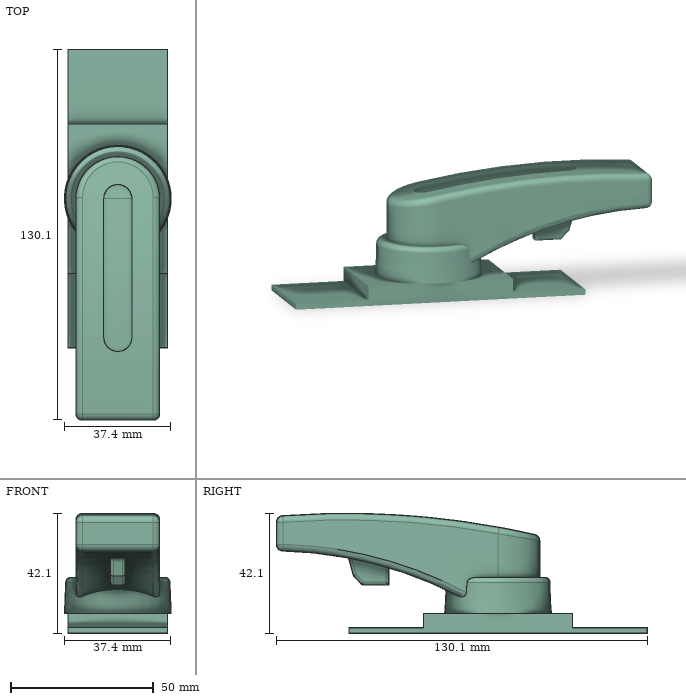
import cadquery as cq
import math


STRIP_LENGTH = 104.7
STRIP_WIDTH = 35.0
STRIP_THICKNESS = 2.0
PAD_LENGTH = STRIP_LENGTH / 2
PAD_TOP = 7.0

BOSS_BOTTOM_RADIUS = 18.7
BOSS_TOP_RADIUS = 18.2
BOSS_TOP = 19.6
BOSS_ROUNDING = 2.0

ARM_WIDTH = 29.4
ARM_TIP_Y = STRIP_LENGTH / 2 - 130.1
ARM_BACK_Y = ARM_WIDTH / 2
ARM_ROUNDING = 2.3
TOP_BACK_Z = 34.2
TOP_MIDDLE = (-32.5, 41.4)
TOP_TIP_Z = 41.1
BOTTOM_TIP_Z = 28.9
BOTTOM_MIDDLE = (-46.8, 25.2)
BOTTOM_INNER = (-7.8, 9.8)

SLOT_WIDTH = 9.9
SLOT_END_Y = -53.6
SLOT_DEPTH = 0.5
SLOT_BEND_Z = 36.7
SLOT_FLAT_END = (ARM_BACK_Y, 33.6)

CATCH_WIDTH = 5.2
CATCH_BACK_Y = -38.2
CATCH_BOTTOM = 16.9
CATCH_BEVEL_START_Y = -47.6
CATCH_BEVEL_END = (-50.7, 20.2)
CATCH_ROOT = (-52.4, 26.3)
CATCH_TOP = 29.9
CATCH_ROUNDING = 1.0


def extrude_across(sketch, width):
    """Extrude a YZ sketch symmetrically about X = 0."""
    return sketch.extrude(width / 2, both=True)


def make_base():
    strip = cq.Workplane("XY").box(
        STRIP_WIDTH, STRIP_LENGTH, STRIP_THICKNESS, centered=(True, True, False)
    )
    pad = cq.Workplane("XY").box(STRIP_WIDTH, PAD_LENGTH, PAD_TOP, centered=(True, True, False))
    return strip.union(pad)


def make_boss():
    height = BOSS_TOP - PAD_TOP
    taper = math.degrees(math.atan((BOSS_BOTTOM_RADIUS - BOSS_TOP_RADIUS) / height))
    boss = cq.Workplane("XY", origin=(0, 0, PAD_TOP)).circle(BOSS_BOTTOM_RADIUS)
    return boss.extrude(height, taper=taper).faces(">Z").edges().fillet(BOSS_ROUNDING)


def make_arm():
    side = (
        cq.Workplane("YZ")
        .moveTo(ARM_BACK_Y, TOP_BACK_Z)
        .threePointArc(TOP_MIDDLE, (ARM_TIP_Y, TOP_TIP_Z))
        .lineTo(ARM_TIP_Y, BOTTOM_TIP_Z)
        .threePointArc(BOTTOM_MIDDLE, BOTTOM_INNER)
        .lineTo(ARM_BACK_Y, BOTTOM_INNER[1])
        .close()
    )
    plan = (
        cq.Workplane("XY")
        .moveTo(ARM_WIDTH / 2, 0)
        .threePointArc((0, ARM_BACK_Y), (-ARM_WIDTH / 2, 0))
        .lineTo(-ARM_WIDTH / 2, ARM_TIP_Y)
        .lineTo(ARM_WIDTH / 2, ARM_TIP_Y)
        .close()
        .extrude(2 * TOP_TIP_Z)
    )
    arm = extrude_across(side, ARM_WIDTH).intersect(plan)

    back_seams = arm.edges("|Z").edges(">Y")
    hidden_edges = arm.faces("<Z").edges()
    return arm.edges().newObject(
        [edge for edge in arm.edges().vals() if edge not in hidden_edges.vals() + back_seams.vals()]
    ).fillet(ARM_ROUNDING)


def make_slot_cutter():
    radius = SLOT_WIDTH / 2
    slot_length = radius - SLOT_END_Y
    plan = (
        cq.Workplane("XY", origin=(0, (radius + SLOT_END_Y) / 2, 0))
        .slot2D(slot_length, SLOT_WIDTH, 90)
        .extrude(2 * TOP_TIP_Z)
    )
    above_floor = (
        cq.Workplane("YZ")
        .moveTo(*SLOT_FLAT_END)
        .lineTo(0, SLOT_BEND_Z)
        .threePointArc(
            (TOP_MIDDLE[0], TOP_MIDDLE[1] - SLOT_DEPTH), (ARM_TIP_Y, TOP_TIP_Z - SLOT_DEPTH)
        )
        .lineTo(ARM_TIP_Y, 2 * TOP_TIP_Z)
        .lineTo(ARM_BACK_Y, 2 * TOP_TIP_Z)
        .close()
    )
    return extrude_across(above_floor, ARM_WIDTH).intersect(plan)


def make_catch():
    outline = (
        cq.Workplane("YZ")
        .moveTo(CATCH_BACK_Y, CATCH_TOP)
        .lineTo(CATCH_BACK_Y, CATCH_BOTTOM)
        .lineTo(CATCH_BEVEL_START_Y, CATCH_BOTTOM)
        .lineTo(*CATCH_BEVEL_END)
        .lineTo(*CATCH_ROOT)
        .lineTo(CATCH_ROOT[0], CATCH_TOP)
        .close()
    )
    catch = extrude_across(outline, CATCH_WIDTH)
    return catch.faces("<X or >X").edges("not >Z").fillet(CATCH_ROUNDING)


def make_lever():
    arm = make_arm().cut(make_slot_cutter())
    return make_boss().union(arm).union(make_catch())


base = make_base()
lever = make_lever()

result = cq.Compound.makeCompound([base.val(), lever.val()])